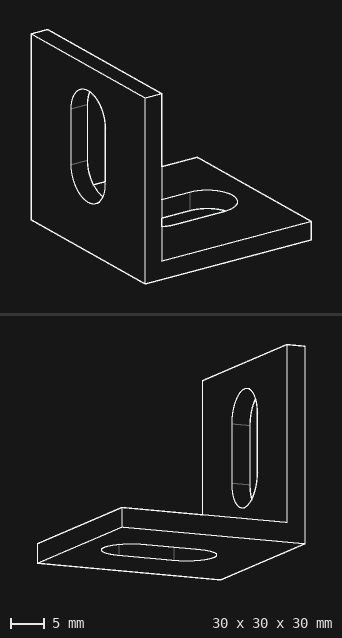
import cadquery as cq

side = 30.0
thickness = 3.0
slot_width = 9.0
slot_length = 18.0
slot_center = 17.0


def slot_cutter(plane, offset):
    """Slot through one leg, elongated along the leg and centred across the width.

    The plane's local Y runs along the leg; the cut spans the leg on both sides of the plane.
    """
    return (
        cq.Workplane(plane)
        .center(0, offset)
        .slot2D(slot_length, slot_width, 90)
        .extrude(thickness, both=True)
    )


bracket = (
    cq.Workplane("YZ")
    .polyline([
        (0, 0),
        (side, 0),
        (side, thickness),
        (thickness, thickness),
        (thickness, side),
        (0, side),
    ])
    .close()
    .extrude(side / 2, both=True)
)

upright_slot = slot_cutter("XZ", slot_center)
base_slot = slot_cutter("XY", slot_center)

result = bracket.cut(upright_slot).cut(base_slot)